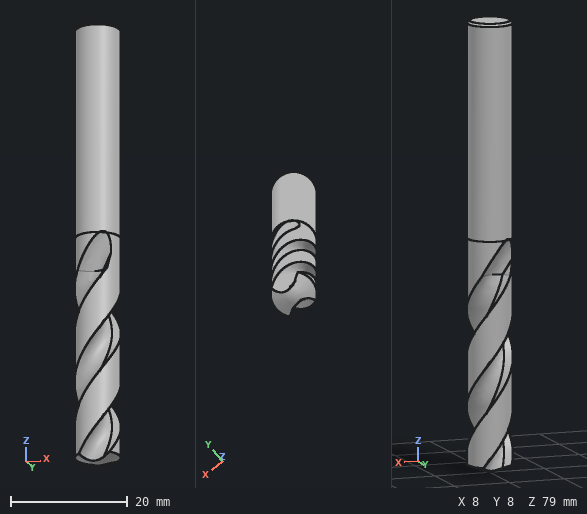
import cadquery as cq
import math

total_length = 79.0
diameter = 8.0
radius = diameter / 2
cutting_length = 41.0
shank_length = total_length - cutting_length
shank_chamfer = 0.5
point_angle = 140.0
point_height = radius / math.tan(math.radians(point_angle / 2))

flute_count = 2
flute_pitch = 33.9
flute_helix_height = 34.75
flute_twist = 360 * flute_helix_height / flute_pitch
runout_sideways = 4.35
runout_outward = 1.65
runout_rise = 7.5
runout_scale = 1.5

flank_angle = 43.0
flank_root_radius = 2.45
back_angle = 41.0
web_radius = 1.4
clearance_radius = 2 * radius


def section_point(distance, angle):
    """Point at a distance from the axis, with the angle measured from -Y towards +X."""
    turn = math.radians(angle)
    return (distance * math.sin(turn), -distance * math.cos(turn))


def flute_section(height):
    """Closed flute outline, open to the outside of the drill, at a given height."""
    return (
        cq.Workplane("XY", origin=(0, 0, height))
        .moveTo(*section_point(clearance_radius, flank_angle))
        .lineTo(*section_point(flank_root_radius, flank_angle))
        .threePointArc((0, -web_radius), section_point(radius, -back_angle))
        .lineTo(*section_point(clearance_radius, -back_angle))
        .close()
    )


def helical_flute():
    """Twisted cutter that reaches the -Y side at the top of the helix."""
    cutter = flute_section(0).twistExtrude(flute_helix_height, flute_twist)
    return cutter.rotate((0, 0, 0), (0, 0, 1), -flute_twist)


def flute_runout():
    """Straight cutter that carries the end section upwards, sideways and outwards."""
    direction = cq.Vector(runout_sideways, -runout_outward, runout_rise) * runout_scale
    face = cq.Face.makeFromWires(flute_section(flute_helix_height).val())
    return cq.Workplane(cq.Solid.extrudeLinear(face, direction))


def cut_flutes(body, cutter):
    """Cut one copy of the cutter for each flute, evenly spaced around the axis."""
    for index in range(flute_count):
        body = body.cut(cutter.rotate((0, 0, 0), (0, 0, 1), index * 360 / flute_count))
    return body


def make_shank():
    """Plain round shank with a chamfered end and the tips of the run-outs."""
    shank = cq.Workplane("XY", origin=(0, 0, cutting_length)).circle(radius).extrude(shank_length)
    shank = shank.faces(">Z").chamfer(shank_chamfer)
    return cut_flutes(shank, flute_runout())


def make_cutting_part():
    """Fluted cylinder with a conical point."""
    blank = (
        cq.Workplane("XZ")
        .moveTo(0, 0)
        .lineTo(radius, point_height)
        .lineTo(radius, cutting_length)
        .lineTo(0, cutting_length)
        .close()
        .revolve(360, (0, 0, 0), (0, 1, 0))
    )
    fluted = cut_flutes(blank, helical_flute())
    return cut_flutes(fluted, flute_runout())


shank = make_shank()
cutting_part = make_cutting_part()

result = cq.Compound.makeCompound([shank.val(), cutting_part.val()])